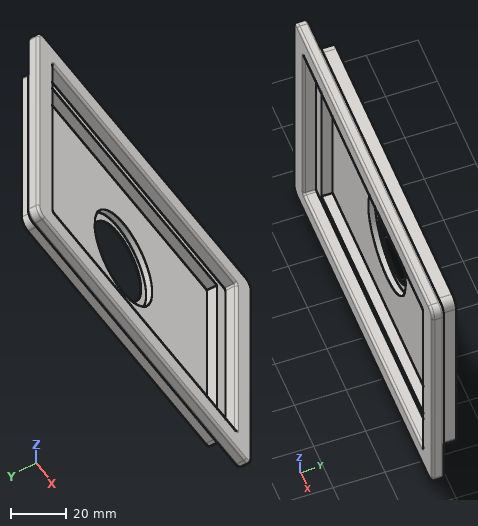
import cadquery as cq

flange_width = 143.4
flange_height = 102.4
flange_thickness = 4.9
flange_corner_radius = 4.0
edge_radius = 1.0

total_depth = 12.3
body_width = 127.3
body_height = 85.0
body_corner_radius = 4.0

opening_width = 123.3
opening_height = 82.3
opening_depth = 5.0
opening_corner_radius = 0.7
recess_width = 112.1
recess_height = 75.7
recess_floor = 9.3

window_diameter = 32.0
counterbore_diameter = 38.6
window_lip_thickness = 0.5


def block(width, height, start, end):
    """Box centred on the Y axis, spanning start to end along Y."""
    return cq.Workplane("XY").box(width, end - start, height).translate((0, (start + end) / 2, 0))


def disc(diameter, start, end):
    """Cylinder along the Y axis, spanning start to end."""
    return cq.Workplane("XZ", origin=(0, start, 0)).circle(diameter / 2).extrude(start - end)


flange = block(flange_width, flange_height, 0, flange_thickness)
flange = flange.edges("|Y").fillet(flange_corner_radius)
flange = flange.faces("<Y or >Y").edges().fillet(edge_radius)

body = block(body_width, body_height, edge_radius, total_depth)
body = body.edges("|Y").fillet(body_corner_radius)

opening = block(opening_width, opening_height, 0, opening_depth)
opening = opening.edges("|Y").fillet(opening_corner_radius)
recess = block(recess_width, recess_height, 0, recess_floor)
counterbore = disc(counterbore_diameter, 0, total_depth - window_lip_thickness)
window = disc(window_diameter, 0, total_depth)

result = flange.union(body).cut(opening)
lip_edges = cq.selectors.BoxSelector(
    (-opening_width / 2 - edge_radius / 2, -edge_radius / 2, -opening_height / 2 - edge_radius / 2),
    (opening_width / 2 + edge_radius / 2, edge_radius / 2, opening_height / 2 + edge_radius / 2),
    boundingbox=True,
)
result = result.edges(lip_edges).fillet(edge_radius)
result = result.cut(recess).cut(counterbore).cut(window)